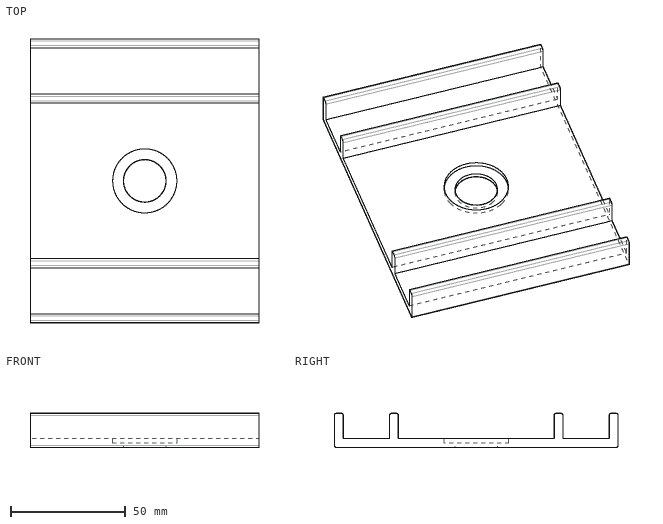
import cadquery as cq

length = 100.0
width = 124.0
height = 15.0

thickness = 4.0
inner_rib_offset = 24.0
edge_radius = 1.0

hole_diameter = 18.5
counterbore_diameter = 28.0
counterbore_depth = thickness / 2


def make_rib(center_y):
    """Full-height rib along X, with both top edges rounded."""
    rib = cq.Workplane("XY").box(length, thickness, height, centered=(True, True, False))
    return rib.faces(">Z").edges("|X").fillet(edge_radius).translate((0, center_y, 0))


base = cq.Workplane("XY").box(length, width, thickness, centered=(True, True, False))

wall_center = (width - thickness) / 2
inner_rib_center = width / 2 - inner_rib_offset - thickness / 2
body = base
for side in (-1, 1):
    for center in (wall_center, inner_rib_center):
        body = body.union(make_rib(side * center))

body = body.faces("<Z").edges("|X").fillet(edge_radius)

result = (
    body.copyWorkplane(cq.Workplane("XY", origin=(0, 0, thickness)))
    .cboreHole(hole_diameter, counterbore_diameter, counterbore_depth)
)